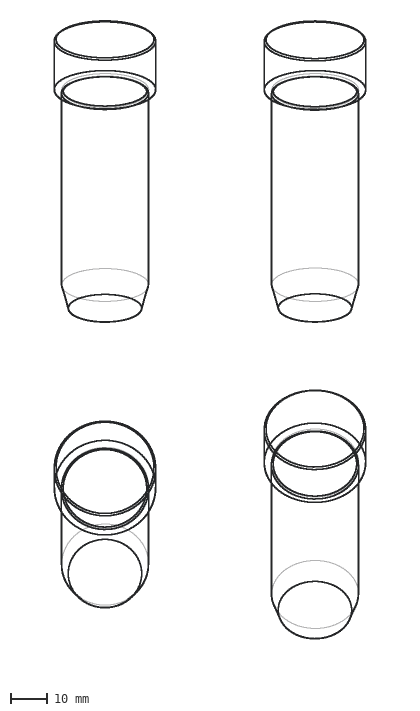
import cadquery as cq
import math

total_length = 80.0
head_length = 15.0
head_radius = 14.0
shaft_radius = 12.0

rim_chamfer = 0.5

groove_radius = 0.5

lead_length = 7.0
lead_angle = 15.0

tip_radius = shaft_radius - lead_length * math.tan(math.radians(lead_angle))
head_bottom = total_length - head_length
groove_root_radius = shaft_radius - groove_radius
groove_middle = head_bottom - groove_radius
groove_bottom = groove_middle - groove_radius
groove_diagonal = groove_radius * math.sqrt(0.5)


def make_pin():
    """Revolve the half profile of the headed pin about the Z axis."""
    groove_root = (groove_root_radius, groove_middle)
    lower_arc_middle = (shaft_radius - groove_diagonal, groove_middle - groove_diagonal)
    upper_arc_middle = (shaft_radius - groove_diagonal, groove_middle + groove_diagonal)
    profile = (
        cq.Workplane("XZ")
        .moveTo(0, 0)
        .lineTo(tip_radius, 0)
        .lineTo(shaft_radius, lead_length)
        .lineTo(shaft_radius, groove_bottom)
        .threePointArc(lower_arc_middle, groove_root)
        .threePointArc(upper_arc_middle, (shaft_radius, head_bottom))
        .lineTo(head_radius, head_bottom)
        .lineTo(head_radius, total_length - rim_chamfer)
        .lineTo(head_radius - rim_chamfer, total_length)
        .lineTo(0, total_length)
        .close()
    )
    return profile.revolve(360, (0, 0, 0), (0, 1, 0), clean=False)


result = make_pin()